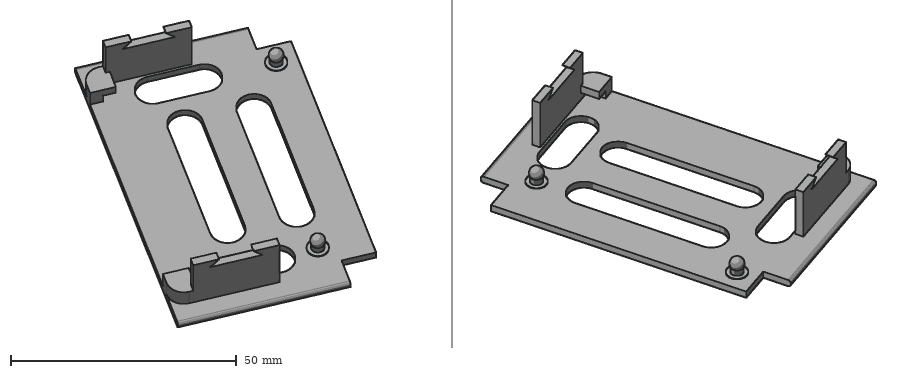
import cadquery as cq
plate_width = 78.0
plate_depth = 48.0
plate_thickness = 1.8
edge_radius = 0.75
tongue_width = 64.2
shoulder_depth = 40.0

slot_width = 8.0
long_slot_length = 40.0
long_slot_ys = (18.5, 34.5)
side_slot_length = 20.0
side_slot_x = 27.5
side_slot_y = 20.5

overall_height = 14.5
wall_thickness = 2.0
wall_inner_x = tongue_width / 2
wall_front_y = 5.0
wall_back_y = 25.0
notch_depth = 2.0
notch_top_width = 8.0
notch_bottom_width = notch_top_width + 2 * notch_depth

block_inner_x = 27.5
block_depth = 6.0
block_height = 4.0
block_radius = 4.0
undercut_front_y = 3.0
undercut_height = 2.0

pin_positions = ((-27.1, 43.0), (27.1, 36.0))
pad_diameter = 5.0
pad_height = 0.2
pin_diameter = 3.0
ball_diameter = 3.4
ball_center_z = 4.3


def make_plate():
    """Plate with rounded left and right edges and a narrower rear tongue."""
    main = (
        cq.Workplane("XY")
        .box(plate_width, shoulder_depth, plate_thickness, centered=(True, False, False))
        .faces("<X or >X")
        .edges("|Y")
        .fillet(edge_radius)
    )
    tongue = cq.Workplane("XY").box(
        tongue_width, plate_depth, plate_thickness, centered=(True, False, False)
    )
    return main.union(tongue)


def make_slots():
    """Cutters for two long slots along X and two side slots along Y."""
    long_slots = (
        cq.Workplane("XY")
        .pushPoints([(0, y) for y in long_slot_ys])
        .slot2D(long_slot_length, slot_width)
        .extrude(plate_thickness)
    )
    side_slots = (
        cq.Workplane("XY")
        .pushPoints([(-side_slot_x, side_slot_y), (side_slot_x, side_slot_y)])
        .slot2D(side_slot_length, slot_width, angle=90)
        .extrude(plate_thickness)
    )
    return long_slots.union(side_slots)


def make_wall():
    """Right-hand wall, rising from the underside of the plate."""
    mid_y = (wall_front_y + wall_back_y) / 2
    notch_floor_z = overall_height - notch_depth
    outline = [
        (wall_front_y, 0),
        (wall_back_y, 0),
        (wall_back_y, overall_height),
        (mid_y + notch_top_width / 2, overall_height),
        (mid_y + notch_bottom_width / 2, notch_floor_z),
        (mid_y - notch_bottom_width / 2, notch_floor_z),
        (mid_y - notch_top_width / 2, overall_height),
        (wall_front_y, overall_height),
    ]
    return (
        cq.Workplane("YZ", origin=(wall_inner_x, 0, 0))
        .polyline(outline)
        .close()
        .extrude(wall_thickness)
    )


def make_block():
    """Right-hand corner block, rounded at its outer front corner, with a lip over the plate."""
    top_z = plate_thickness + block_height
    inner_width = wall_inner_x - block_inner_x
    inner = cq.Workplane("XY", origin=(block_inner_x, 0, 0)).box(
        inner_width, block_depth, top_z, centered=False
    )
    outer = cq.Workplane("XY", origin=(wall_inner_x, 0, 0)).box(
        wall_thickness, wall_front_y, top_z, centered=False
    )
    undercut_origin = (block_inner_x, undercut_front_y, plate_thickness)
    undercut = cq.Workplane("XY", origin=undercut_origin).box(
        inner_width, block_depth - undercut_front_y, undercut_height, centered=False
    )
    block = inner.union(outer).edges("|Z and >X and <Y").fillet(block_radius)
    return block.cut(undercut)


def make_pin(x, y):
    """Pad, shank and ball head of one locating pin."""
    base = cq.Workplane("XY", origin=(x, y, 0))
    pad = base.circle(pad_diameter / 2).extrude(plate_thickness + pad_height)
    shank = base.circle(pin_diameter / 2).extrude(ball_center_z)
    ball = cq.Workplane("XY").sphere(ball_diameter / 2).translate((x, y, ball_center_z))
    return pad.union(shank).union(ball)


result = make_plate().cut(make_slots())

bracket = make_wall().union(make_block())
result = result.union(bracket).union(bracket.mirror("YZ"))

for pin_x, pin_y in pin_positions:
    result = result.union(make_pin(pin_x, pin_y))